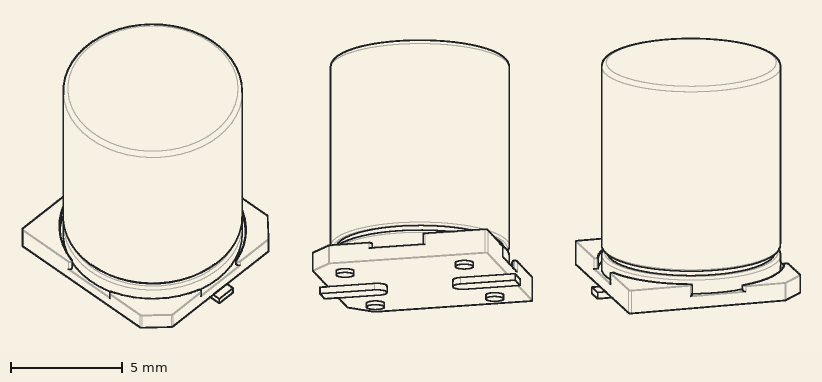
import cadquery as cq

total_height = 10.5
lead_thickness = 0.3
floor_z = 0.9
low_corner_z = 1.15
high_corner_z = 1.4

base_width = 8.3
base_half = base_width / 2
corner_chamfer = 1.0
upright_fillet = 0.1
edge_fillet = 0.03
notch_width = 2.38
pocket_radius = base_half

can_radius = 4.0
can_top_fillet = 0.2
groove_radius = 3.75
groove_bottom_z = 1.67
groove_top_z = 1.92
groove_top_fillet = 0.1
groove_bottom_fillet = 0.125

lead_span = 9.0
lead_length = 2.97
lead_width = 0.9
foot_diameter = 0.8
foot_height = 0.175
foot_spacing = 5.5

tolerance = 0.01


def on_side_face(edge):
    """True for an edge lying on one of the four flat sides of the base."""
    centre = edge.Center()
    return max(abs(centre.x), abs(centre.y)) > base_half - tolerance


def upright_edges(base):
    """Vertical edges of the base: its corners and the mouths of its notches."""
    return [edge for edge in base.edges("|Z").vals() if on_side_face(edge)]


def level_edges(base):
    """Horizontal outline edges; the feet of the pocket and notch walls are left out."""
    chosen = []
    for edge in base.edges("not |Z").vals():
        above_or_below_floor = abs(edge.Center().z - floor_z) > tolerance
        if on_side_face(edge) or above_or_below_floor:
            chosen.append(edge)
    return chosen


def make_base():
    base = cq.Workplane("XY").workplane(offset=lead_thickness)
    base = base.rect(base_width, base_width).extrude(high_corner_z - lead_thickness)
    base = base.edges("|Z and >X").chamfer(corner_chamfer)
    above_floor = cq.Workplane("XY").workplane(offset=floor_z)
    clearance = high_corner_z - floor_z
    base = base.cut(above_floor.circle(pocket_radius).extrude(clearance))
    base = base.cut(above_floor.rect(base_width, notch_width).extrude(clearance))
    base = base.cut(above_floor.rect(notch_width, base_width).extrude(clearance))
    above_low_corners = cq.Workplane("XY").workplane(offset=low_corner_z)
    low_half = above_low_corners.center(base_half / 2, 0).rect(base_half, base_width)
    base = base.cut(low_half.extrude(high_corner_z - low_corner_z))

    base = base.newObject(upright_edges(base)).fillet(upright_fillet)
    return base.newObject(level_edges(base)).fillet(edge_fillet)


def make_can():
    lower = cq.Workplane("XY").workplane(offset=floor_z)
    lower = lower.circle(can_radius).extrude(groove_bottom_z - floor_z)
    lower = lower.faces(">Z").edges().fillet(groove_bottom_fillet)
    neck = cq.Workplane("XY").workplane(offset=floor_z)
    neck = neck.circle(groove_radius).extrude(groove_top_z - floor_z)
    upper = cq.Workplane("XY").workplane(offset=groove_top_z)
    upper = upper.circle(can_radius).extrude(total_height - groove_top_z)
    upper = upper.faces("<Z").edges().fillet(groove_top_fillet)
    upper = upper.faces(">Z").edges().fillet(can_top_fillet)
    return lower.union(neck).union(upper)


def make_lead(side):
    """Flat terminal with a half-round inner end; side is -1 or +1 along X."""
    outer_x = side * lead_span / 2
    inner_x = side * (lead_span / 2 - lead_length)
    arc_x = inner_x + side * lead_width / 2
    half = lead_width / 2
    return (
        cq.Workplane("XY")
        .moveTo(outer_x, -half)
        .lineTo(arc_x, -half)
        .threePointArc((inner_x, 0), (arc_x, half))
        .lineTo(outer_x, half)
        .close()
        .extrude(lead_thickness)
    )


def make_feet():
    feet = cq.Workplane("XY").workplane(offset=lead_thickness - foot_height)
    feet = feet.rect(foot_spacing, foot_spacing, forConstruction=True).vertices()
    return feet.circle(foot_diameter / 2).extrude(foot_height)


result = make_base().union(make_can()).union(make_feet())
for side in (-1, 1):
    result = result.union(make_lead(side))